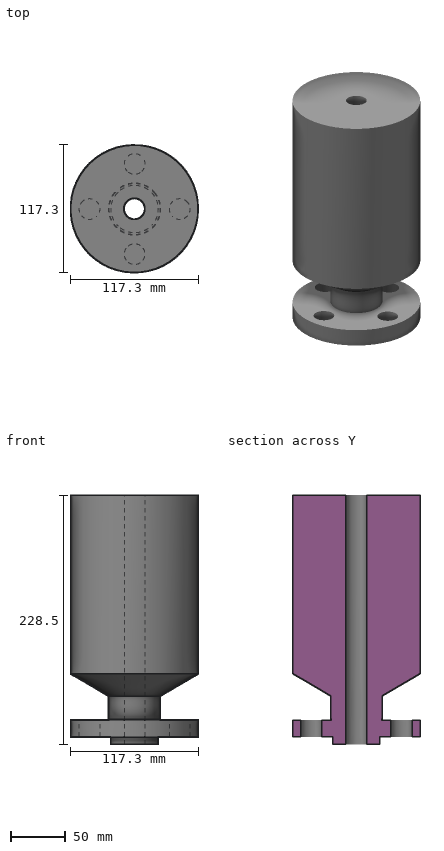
import cadquery as cq

total_height = 228.5
body_diameter = 117.3
flange_diameter = body_diameter
neck_diameter = 47.8
relief_diameter = 46.9
spigot_diameter = 43.5
bore_diameter = 19.0
relief_height = 0.7

flange_bottom = 6.6
flange_top = 22.5
relief_top = flange_top + relief_height
neck_top = 44.3
cone_top = 64.7

bolt_hole_diameter = bore_diameter
bolt_circle_radius = 41.4
bolt_hole_count = 4


def cylinder(diameter, bottom, top):
    """Upright cylinder on the Z axis between two levels."""
    return cq.Workplane("XY").workplane(offset=bottom).circle(diameter / 2).extrude(top - bottom)


def cone():
    """Taper from the neck up to the body."""
    profile = [
        (0, neck_top),
        (neck_diameter / 2, neck_top),
        (body_diameter / 2, cone_top),
        (0, cone_top),
    ]
    return cq.Workplane("XZ").polyline(profile).close().revolve(360, (0, 0, 0), (0, 1, 0))


def bolt_holes():
    """Cutters for the holes through the flange, one on each half axis."""
    return (
        cq.Workplane("XY")
        .workplane(offset=flange_bottom)
        .polarArray(bolt_circle_radius, 0, 360, bolt_hole_count)
        .circle(bolt_hole_diameter / 2)
        .extrude(flange_top - flange_bottom)
    )


spigot = cylinder(spigot_diameter, 0, flange_bottom)
flange = cylinder(flange_diameter, flange_bottom, flange_top).cut(bolt_holes())
relief = cylinder(relief_diameter, flange_top, relief_top)
neck = cylinder(neck_diameter, relief_top, neck_top)
body = cylinder(body_diameter, cone_top, total_height)
bore = cylinder(bore_diameter, 0, total_height)

result = spigot.union(flange).union(relief).union(neck).union(cone()).union(body).cut(bore)